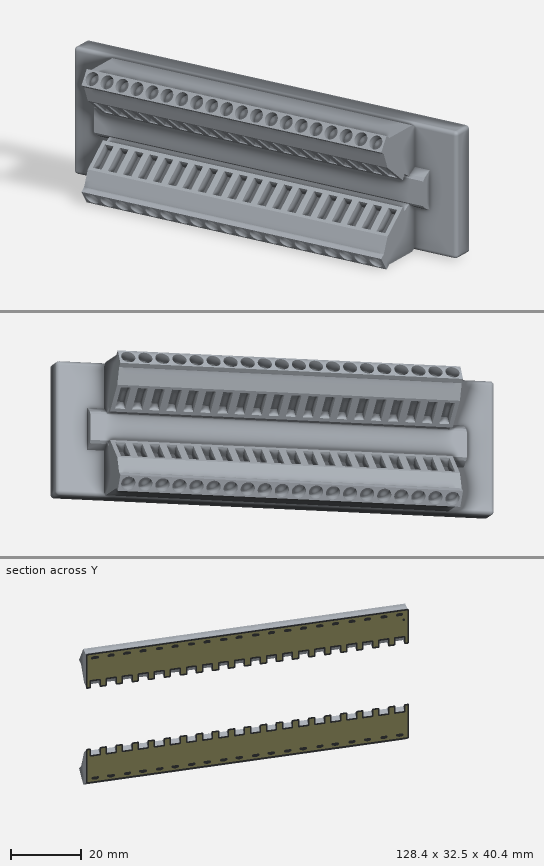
import cadquery as cq
import math

plate_length = 128.4
plate_height = 38.5
plate_thickness = 6.6
plate_edge = 1.1

rail_length = 110.3
rail_base_half = 6.05
rail_shoulder = (9.3, 4.6)
rail_front = 10.05
rail_front_half = 3.75

block_length = 100.4
block_reach = 24.5
block_top = 19.15
block_chamfer_depth = 1.5
block_chamfer_height = 0.95
half_height = 20.2
way_count = 20
way_pitch = 5.0

lip_angle = math.radians(35)
lip_width = 5.0
lip_step = 1.7
wire_hole_diameter = 4.1
wire_hole_depth = 3.2

slope_start = (13.1, 4.1)
slope_end = (21.1, 10.4)
notch_root = (12.0, 5.6)
block_root = (rail_shoulder[0], 3.95)
slot_inner_margin = 1.2
slot_outer_margin = 0.9
slot_width = 2.9
slot_depth = 3.0

shell_length = 56.0
shell_height = 8.2
shell_reach = 8.0
shell_side_angle = math.radians(15)
shell_upper_radius = 2.2
shell_lower_radius = 4.2
flange_length = 69.3
flange_height = 13.0
flange_thickness = 1.2
flange_gap = 0.8
flange_corner = 1.1


def side_plane(x):
    """Sketch plane at X = x whose local axes are the distance towards -Y and Z."""
    return cq.Plane(origin=(x, 0, 0), xDir=(0, -1, 0), normal=(-1, 0, 0))


def side_prism(points, length):
    """Prism centred on X = 0 from an outline of (distance in front of plate back, Z) points."""
    return cq.Workplane(side_plane(length / 2)).polyline(points).close().extrude(length)


def make_plate():
    plate = cq.Workplane("XY").box(plate_length, plate_thickness, plate_height)
    plate = plate.translate((0, -plate_thickness / 2, 0))
    return plate.edges("|Y or <Y").fillet(plate_edge)


def make_rail():
    upper = [(plate_thickness, rail_base_half), rail_shoulder, (rail_front, rail_front_half)]
    lower = [(distance, -z) for distance, z in reversed(upper)]
    return side_prism(upper + lower, rail_length)


def make_wire_holes(lip_top, tip):
    """Cutters for the round wire holes, centred on the lip face between its two edges."""
    lip_plane = cq.Plane(
        origin=(0, -(tip[0] + lip_top[0]) / 2, (tip[1] + lip_top[1]) / 2),
        xDir=(1, 0, 0),
        normal=(0, -math.cos(lip_angle), math.sin(lip_angle)),
    )
    return (
        cq.Workplane(lip_plane)
        .rarray(way_pitch, 1, way_count, 1)
        .circle(wire_hole_diameter / 2)
        .extrude(-wire_hole_depth)
    )


def make_release_slots():
    """Cutters for the rectangular slots, square to the sloping face."""
    slope_run = slope_end[0] - slope_start[0]
    slope_rise = slope_end[1] - slope_start[1]
    slope_length = math.hypot(slope_run, slope_rise)
    slot_length = slope_length - slot_inner_margin - slot_outer_margin
    slot_share = (slot_inner_margin + slot_length / 2) / slope_length
    slope_plane = cq.Plane(
        origin=(0, -slope_start[0] - slot_share * slope_run, slope_start[1] + slot_share * slope_rise),
        xDir=(1, 0, 0),
        normal=(0, -slope_rise, -slope_run),
    )
    return (
        cq.Workplane(slope_plane)
        .rarray(way_pitch, 1, way_count, 1)
        .rect(slot_width, slot_length)
        .extrude(-slot_depth)
    )


def make_block():
    """Upper terminal block with its wire holes and release slots."""
    axis = (math.cos(lip_angle), math.sin(lip_angle))
    lip_top = (block_reach - lip_width * axis[1], half_height)
    tip = (block_reach, half_height - lip_width * axis[0])
    lip_back = (tip[0] - lip_step * axis[0], tip[1] - lip_step * axis[1])
    lip_run = (half_height - block_top) / math.tan(lip_angle)
    outline = [
        (plate_thickness, block_root[1]),
        (plate_thickness, block_top - block_chamfer_height),
        (plate_thickness + block_chamfer_depth, block_top),
        (lip_top[0] - lip_run, block_top),
        lip_top,
        tip,
        lip_back,
        slope_end,
        slope_start,
        notch_root,
        block_root,
    ]
    block = side_prism(outline, block_length)
    return block.cut(make_wire_holes(lip_top, tip)).cut(make_release_slots())


def make_connector():
    """D-shaped shell, wider at the top, standing on the plate back and carrying a flange."""
    half_corner = (math.pi / 2 - shell_side_angle) / 2
    half_top = shell_length / 2 - shell_upper_radius + shell_upper_radius / math.tan(half_corner)
    half_bottom = half_top - shell_height * math.tan(shell_side_angle)
    half_z = shell_height / 2
    back = cq.Workplane("XZ")
    shell = (
        back.polyline([(-half_bottom, -half_z), (half_bottom, -half_z), (half_top, half_z), (-half_top, half_z)])
        .close()
        .extrude(-shell_reach)
        .edges("|Y and >Z")
        .fillet(shell_upper_radius)
        .edges("|Y and <Z")
        .fillet(shell_lower_radius)
    )
    flange = (
        back.workplane(offset=-flange_gap)
        .rect(flange_length, flange_height)
        .extrude(-flange_thickness)
        .edges("|Y")
        .fillet(flange_corner)
    )
    return shell.union(flange)


upper_block = make_block()
lower_block = upper_block.mirror("XY")
result = make_plate().union(make_rail()).union(upper_block).union(lower_block).union(make_connector())